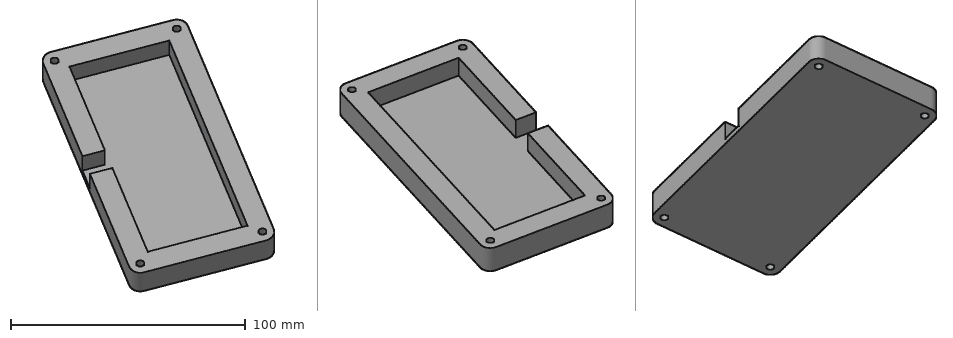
import cadquery as cq

length = 125.8
width = 64.9
height = 13.0
corner_radius = 5.0

wall = 10.0
floor = 3.0
slot_width = 10.0

hole_diameter = 3.4

pocket_length = length - 2 * wall
pocket_width = width - 2 * wall
pocket_depth = height - floor
hole_spacing_x = length - 2 * corner_radius
hole_spacing_y = width - 2 * corner_radius


def make_block():
    """Rounded block standing on Z = 0, centred in X and Y."""
    block = cq.Workplane("XY").box(length, width, height, centered=(True, True, False))
    return block.edges("|Z").fillet(corner_radius)


def make_pocket():
    """Rectangular tray pocket, open at the top."""
    return (
        cq.Workplane("XY")
        .workplane(offset=floor)
        .rect(pocket_length, pocket_width)
        .extrude(pocket_depth)
    )


def make_slot():
    """Slot from the middle of the tray out through the -Y wall, level with the floor."""
    return (
        cq.Workplane("XY")
        .workplane(offset=floor)
        .center(0, -width / 4)
        .rect(slot_width, width / 2)
        .extrude(pocket_depth)
    )


def make_screw_holes():
    """Four through holes, one in each corner."""
    return (
        cq.Workplane("XY")
        .rect(hole_spacing_x, hole_spacing_y, forConstruction=True)
        .vertices()
        .circle(hole_diameter / 2)
        .extrude(height)
    )


result = make_block().cut(make_pocket()).cut(make_slot()).cut(make_screw_holes())